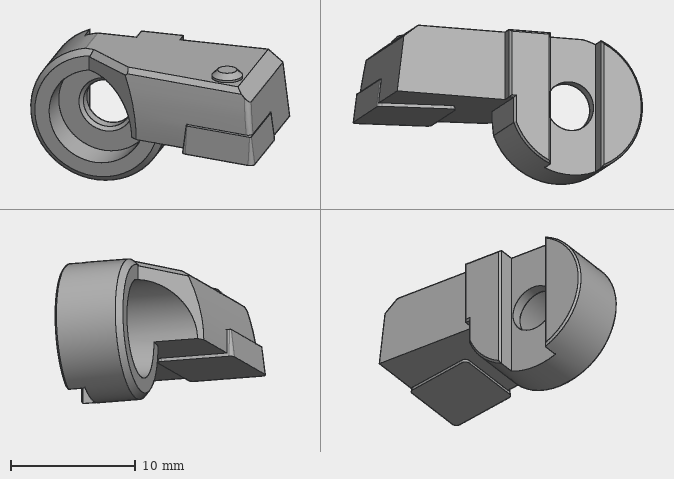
import cadquery as cq
import math


EYE_RADIUS = 5.7
EYE_LENGTH = 5.59
EYE_FLAT_X = 5.3
EYE_FRONT_CHAMFER = 0.5
BACK_CHAMFER = 0.17
BORE_RADIUS = 2.0
BORE_CHAMFER = 0.3
COUNTERBORE_RADIUS = 4.0
COUNTERBORE_DEPTH = 2.75

SLOT_WIDTH = 4.33
SLOT_DEPTH = 1.57

ARM_HEIGHT = 5.59
ARM_BACK_Y = -1.14
NECK_START = (-0.66, -EYE_LENGTH)
FRONT_CORNER = (4.5, -9.63)
LEAD_ANGLE = 10.0
BULGE_RADIUS = 18.42
RELIEF_ANGLE = 7.0
END_X = 14.9
FRONT_BEVEL_WIDTH = 0.41
FRONT_BEVEL_DROP = 0.3
NECK_BEVEL = 0.5
END_BEVEL_TOP_X = 13.1
END_BEVEL_DROP = 1.0

INSERT_EDGE = 6.44
INSERT_THICKNESS = 2.34
INSERT_BOTTOM_Z = -0.3
INSERT_TIP = (15.0, -11.99)
NOSE_RADIUS = 0.4

PIN_CENTER = (11.67, -8.03)
PIN_RADIUS = 1.25
PIN_TOP_Z = 6.23
PIN_CHAMFER = 0.45

REACH = 24.85
BULGE_SETBACK = BULGE_RADIUS - math.sqrt(BULGE_RADIUS**2 - ARM_HEIGHT**2)
RELIEF = math.tan(math.radians(RELIEF_ANGLE))
INSERT_TOP_Z = INSERT_BOTTOM_Z + INSERT_THICKNESS
LEAD = math.radians(LEAD_ANGLE)
NECK_SLANT = math.atan2(NECK_START[1] - FRONT_CORNER[1], FRONT_CORNER[0] - NECK_START[0])


def section_plane(origin, angle):
    """Vertical plane square to a wall that slants forward by angle: x is inward, y is up."""
    inward = cq.Vector(math.sin(angle), math.cos(angle), 0)
    along = cq.Vector(math.cos(angle), -math.sin(angle), 0)
    return cq.Plane(origin=(*origin, 0), xDir=inward, normal=along)


def bevel_cutter(plane, inset, width, drop):
    """Wedge that bevels a top edge, starting inset from the plane origin."""
    overrun = 3
    return (
        cq.Workplane(plane)
        .moveTo(inset, ARM_HEIGHT)
        .line(-overrun * width, -overrun * drop)
        .line(0, overrun * drop)
        .close()
        .extrude(REACH, both=True)
    )


def make_eye():
    eye = cq.Workplane("XZ").circle(EYE_RADIUS).extrude(EYE_LENGTH)
    eye = eye.faces("<Y").chamfer(EYE_FRONT_CHAMFER)
    limits = (
        cq.Workplane("XZ")
        .moveTo(EYE_FLAT_X, ARM_HEIGHT)
        .hLine(-REACH)
        .vLine(-REACH)
        .hLine(REACH)
        .close()
        .extrude(EYE_LENGTH)
    )
    return eye.intersect(limits)


def make_arm_block():
    """Arm without bevels: its plan outline, bulged front face and relieved end face."""
    neck_far_end = (REACH, NECK_START[1] - (REACH - NECK_START[0]) * math.tan(NECK_SLANT))
    plan = [
        NECK_START,
        neck_far_end,
        (REACH, ARM_BACK_Y),
        (EYE_RADIUS, ARM_BACK_Y),
        (EYE_RADIUS, 0),
        (NECK_START[0], 0),
    ]
    block = cq.Workplane("XY").polyline(plan).close().extrude(ARM_HEIGHT)

    behind_front = (
        cq.Workplane(section_plane(FRONT_CORNER, LEAD))
        .radiusArc((BULGE_SETBACK, ARM_HEIGHT), BULGE_RADIUS)
        .hLine(REACH)
        .vLine(-ARM_HEIGHT)
        .close()
        .extrude(REACH, both=True)
    )
    before_end = (
        cq.Workplane("XZ")
        .moveTo(END_X, 0)
        .line(-ARM_HEIGHT * RELIEF, ARM_HEIGHT)
        .hLine(-REACH)
        .vLine(-ARM_HEIGHT)
        .close()
        .extrude(REACH, both=True)
    )
    block = block.intersect(behind_front).intersect(before_end)

    nose_point = (END_X, INSERT_TIP[1], ARM_HEIGHT / 2)
    return block.edges(cq.selectors.NearestToPointSelector(nose_point)).fillet(NOSE_RADIUS)


def make_arm():
    arm = make_arm_block()
    neck_plane = section_plane(NECK_START, NECK_SLANT)
    front_plane = section_plane(FRONT_CORNER, LEAD)
    end_plane = cq.Plane(origin=(END_BEVEL_TOP_X, 0, 0), xDir=(-1, 0, 0), normal=(0, 1, 0))
    end_bevel_width = END_X - (ARM_HEIGHT - END_BEVEL_DROP) * RELIEF - END_BEVEL_TOP_X

    arm = arm.cut(bevel_cutter(neck_plane, NECK_BEVEL, NECK_BEVEL, NECK_BEVEL))
    front_inset = BULGE_SETBACK + FRONT_BEVEL_WIDTH
    arm = arm.cut(bevel_cutter(front_plane, front_inset, FRONT_BEVEL_WIDTH, FRONT_BEVEL_DROP))
    return arm.cut(bevel_cutter(end_plane, 0, end_bevel_width, END_BEVEL_DROP))


def make_stepped_bore():
    """Bore, its chamfer and the counterbore, revolved as one tool about the Y axis."""
    floor_y = COUNTERBORE_DEPTH - EYE_LENGTH
    return (
        cq.Workplane("XY")
        .hLine(BORE_RADIUS)
        .vLine(floor_y + BORE_CHAMFER)
        .line(BORE_CHAMFER, -BORE_CHAMFER)
        .hLineTo(COUNTERBORE_RADIUS)
        .vLineTo(-REACH)
        .hLineTo(0)
        .close()
        .revolve(360, (0, 0, 0), (0, 1, 0))
    )


def make_holder(insert, pin):
    holder = make_eye().union(make_arm())
    slot = cq.Workplane("XY").box(SLOT_WIDTH, 2 * SLOT_DEPTH, REACH)
    holder = holder.cut(slot).faces(">Y").chamfer(BACK_CHAMFER)
    return holder.cut(make_stepped_bore()).cut(insert).cut(pin)


def make_insert():
    tip = cq.Vector(*INSERT_TIP)
    side = cq.Vector(0, INSERT_EDGE)
    front = cq.Vector(-INSERT_EDGE * math.cos(LEAD), INSERT_EDGE * math.sin(LEAD))
    rhombus = [tip, tip + side, tip + side + front, tip + front]
    outline = cq.Sketch().polygon([*rhombus, tip]).vertices().fillet(NOSE_RADIUS)
    return (
        cq.Workplane("XY", origin=(0, 0, INSERT_BOTTOM_Z))
        .placeSketch(outline)
        .extrude(INSERT_THICKNESS, taper=RELIEF_ANGLE)
    )


def make_pin():
    """Pin standing on the insert and passing up through the arm."""
    return (
        cq.Workplane("XY", origin=(*PIN_CENTER, INSERT_TOP_Z))
        .circle(PIN_RADIUS)
        .extrude(PIN_TOP_Z - INSERT_TOP_Z)
        .faces(">Z")
        .chamfer(PIN_CHAMFER)
    )


insert = make_insert()
pin = make_pin()
holder = make_holder(insert, pin)
result = cq.Compound.makeCompound([holder.val(), insert.val(), pin.val()])